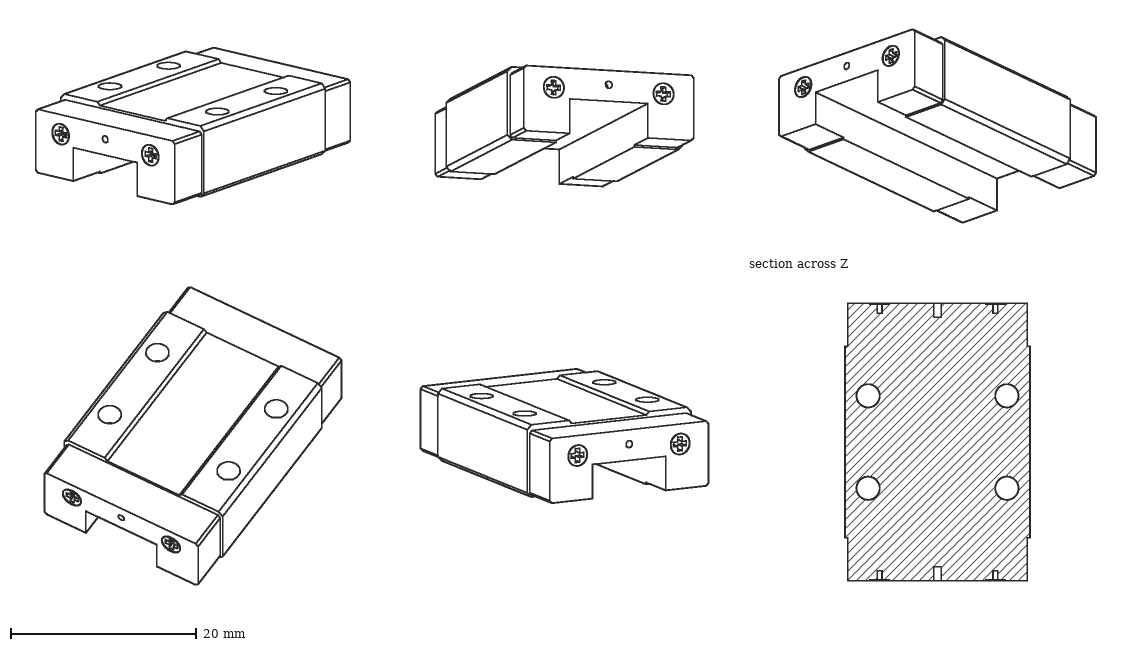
import cadquery as cq
import math

total_length = 30.0
body_width = 20.0
body_height = 8.0
body_length = 20.73
body_chamfer = 0.5

relief_floor_width = 9.05
relief_depth = 0.35

cap_side_inset = 0.3
cap_top_inset = 0.63
cap_bottom_inset = 0.2
cap_chamfer = 0.3
cap_width = body_width - 2 * cap_side_inset
cap_height = body_height - cap_top_inset - cap_bottom_inset

channel_width = 8.9
channel_height = 4.0

mount_diameter = 2.5
mount_spacing_x = 15.0
mount_spacing_y = 10.0
mount_depth = 3.0
drill_tip_angle = 118.0

screw_diameter = 2.3
screw_spacing = 12.5
screw_z = 5.15
screw_head_recess = 0.1
cross_span = 1.53
cross_arm_width = 0.5
cross_depth = 1.0
lube_diameter = 0.75
lube_z = 5.8
lube_depth = 1.5


def chamfered_bar(width, length, height, bottom_z, chamfer):
    """Bar along Y, centred on X and Y, with its four long edges chamfered."""
    bar = cq.Workplane("XY").box(width, length, height, centered=(True, True, False))
    return bar.edges("|Y").chamfer(chamfer).translate((0, 0, bottom_z))


def relief_cutter():
    """Trapezoidal prism that widens towards the top face of the body."""
    floor_half = relief_floor_width / 2
    top_half = floor_half + relief_depth
    floor_z = body_height - relief_depth
    outline = [
        (-floor_half, floor_z),
        (floor_half, floor_z),
        (top_half, body_height),
        (-top_half, body_height),
    ]
    return cq.Workplane("XZ").polyline(outline).close().extrude(body_length / 2, both=True)


def channel_cutter():
    """Rectangular prism for the rail, open at the bottom and both ends."""
    return cq.Workplane("XY").box(
        channel_width, total_length, channel_height, centered=(True, True, False)
    )


def mount_cutter():
    """Blind hole below the origin: a cylinder ending in a cone."""
    radius = mount_diameter / 2
    tip_length = radius / math.tan(math.radians(drill_tip_angle / 2))
    half_section = [(0, 0), (radius, 0), (radius, -mount_depth), (0, -mount_depth - tip_length)]
    return cq.Workplane("XZ").polyline(half_section).close().revolve(360, (0, 0), (0, 1))


def end_face_cutter():
    """Screw head recesses, cross slots and lubrication hole of the -Y end face."""
    end_face = cq.Workplane("XZ", origin=(0, -total_length / 2, 0))
    screw_places = [(-screw_spacing / 2, screw_z), (screw_spacing / 2, screw_z)]
    slot_depth = -(screw_head_recess + cross_depth)
    heads = end_face.pushPoints(screw_places).circle(screw_diameter / 2).extrude(-screw_head_recess)
    flat_slots = end_face.pushPoints(screw_places).rect(cross_span, cross_arm_width).extrude(slot_depth)
    upright_slots = end_face.pushPoints(screw_places).rect(cross_arm_width, cross_span).extrude(slot_depth)
    lube_hole = end_face.center(0, lube_z).circle(lube_diameter / 2).extrude(-lube_depth)
    return heads.union(flat_slots).union(upright_slots).union(lube_hole)


body = chamfered_bar(body_width, body_length, body_height, 0, body_chamfer)
body = body.cut(relief_cutter())

cap_bar = chamfered_bar(cap_width, total_length, cap_height, cap_bottom_inset, cap_chamfer)
carriage = body.union(cap_bar).cut(channel_cutter())

mount_places = cq.Workplane("XY").rect(mount_spacing_x, mount_spacing_y, forConstruction=True).vertices()
for place in mount_places.vals():
    carriage = carriage.cut(mount_cutter().translate((place.X, place.Y, body_height)))

front_end = end_face_cutter()
result = carriage.cut(front_end).cut(front_end.mirror("XZ"))